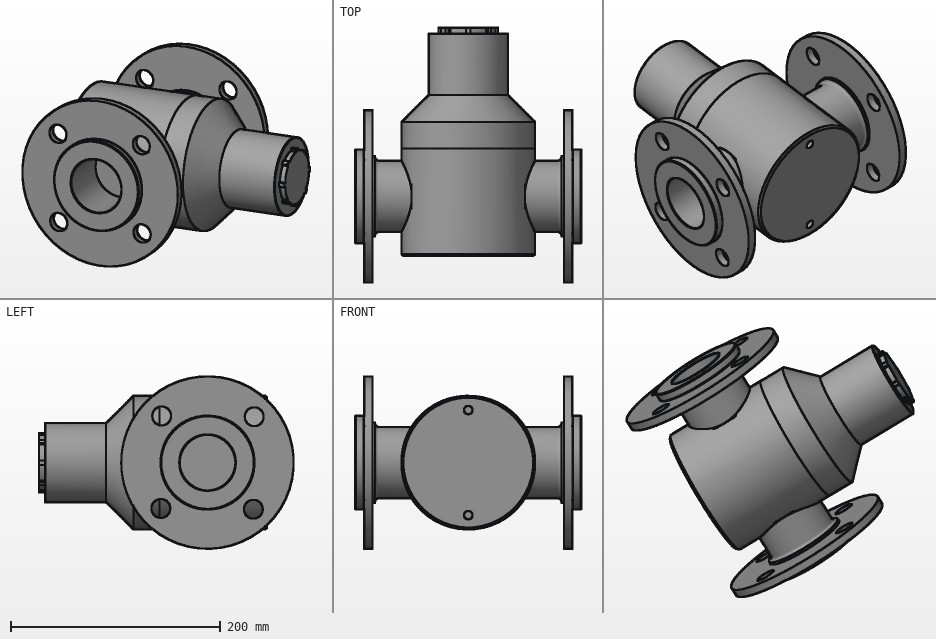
import cadquery as cq
import math


overall_depth = 243.6

body_diameter = 128.0
body_front_y = -57.0
body_edge_chamfer = 2.0
seam_y = 45.8

pin_hole_diameter = 8.0
pin_hole_offset = 50.2
pin_hole_depth = 9.7

cone_start_y = 71.0
neck_diameter = 76.0
cone_end_y = cone_start_y + (body_diameter - neck_diameter) / 2
neck_end_y = 155.5
neck_edge_chamfer = 0.5

knob_diameter = 52.6
rib_count = 8
rib_width = 4.1
rib_reach = 28.5

overall_length = 216.0
bore_diameter = 53.0
collar_diameter = 90.0
collar_thickness = 8.5
collar_edge_chamfer = 0.7
bore_edge_chamfer = 0.5
sleeve_diameter = 77.0
sleeve_end_x = 89.0
pipe_diameter = 68.5
pipe_fillet = 3.2

flange_diameter = 165.0
flange_bore_diameter = 78.0
flange_thickness = 8.3
bolt_circle_diameter = 125.0
bolt_hole_diameter = 18.0
bolt_count = 4
bolt_pattern_turn = 0.5

body_radius = body_diameter / 2
pipe_radius = pipe_diameter / 2
knob_end_y = overall_depth - flange_diameter / 2
outer_x = overall_length / 2
collar_back_x = outer_x - collar_thickness
pipe_end_x = math.sqrt(body_radius**2 - pipe_radius**2)


def cylinder_along_y(diameter, start_y, end_y):
    """Cylinder on the valve axis."""
    return (
        cq.Workplane("XZ", origin=(0, start_y, 0))
        .circle(diameter / 2)
        .extrude(start_y - end_y)
    )


def tube_along_x(diameter, start_x, end_x):
    """Cylinder on the pipe axis."""
    return cq.Workplane("YZ", origin=(start_x, 0, 0)).circle(diameter / 2).extrude(end_x - start_x)


def make_body():
    body = cylinder_along_y(body_diameter, body_front_y, seam_y)
    body = body.faces("<Y").chamfer(body_edge_chamfer)
    for side in (1, -1):
        body = body.cut(tube_along_x(pipe_diameter, side * pipe_end_x, side * outer_x))
        pin_hole = cylinder_along_y(pin_hole_diameter, body_front_y, body_front_y + pin_hole_depth)
        body = body.cut(pin_hole.translate((0, 0, side * pin_hole_offset)))
    return body


def make_bonnet():
    neck_radius = neck_diameter / 2
    profile = [
        (0, seam_y),
        (body_radius, seam_y),
        (body_radius, cone_start_y),
        (neck_radius, cone_end_y),
        (neck_radius, neck_end_y),
        (0, neck_end_y),
    ]
    bonnet = cq.Workplane("XY").polyline(profile).close().revolve(360, (0, 0, 0), (0, 1, 0))
    return bonnet.faces(">Y").chamfer(neck_edge_chamfer)


def make_knob():
    knob = cylinder_along_y(knob_diameter, neck_end_y, knob_end_y)
    for index in range(rib_count):
        rib = cq.Workplane("XY").box(
            rib_reach, knob_end_y - neck_end_y, rib_width, centered=(False, False, True)
        )
        rib = rib.translate((0, neck_end_y, 0))
        knob = knob.union(rib.rotate((0, 0, 0), (0, 1, 0), index * 360 / rib_count))
    return knob


def make_stub(side):
    """Collared pipe; side is 1 for +X and -1 for -X."""
    outer_face = ">X" if side > 0 else "<X"
    collar = tube_along_x(collar_diameter, side * collar_back_x, side * outer_x)
    collar = collar.edges().chamfer(collar_edge_chamfer)
    sleeve = tube_along_x(sleeve_diameter, side * sleeve_end_x, side * collar_back_x)
    pipe = tube_along_x(pipe_diameter, side * pipe_end_x, side * sleeve_end_x)
    stub = collar.union(sleeve).union(pipe)

    root_reach = pipe_radius + 0.2
    root_box = cq.selectors.BoxSelector(
        (side * sleeve_end_x - 0.2, -root_reach, -root_reach),
        (side * sleeve_end_x + 0.2, root_reach, root_reach),
        boundingbox=True,
    )
    stub = stub.faces("%PLANE").edges(root_box).fillet(pipe_fillet)

    stub = stub.cut(tube_along_x(bore_diameter, side * pipe_end_x, side * outer_x))
    bore_edge = cq.selectors.RadiusNthSelector(0)
    return stub.faces(outer_face).edges(bore_edge).chamfer(bore_edge_chamfer)


def make_flange(side):
    """Loose ring behind a collar; side is 1 for +X and -1 for -X."""
    inner_x = side * (collar_back_x - flange_thickness)
    outer_face_x = side * collar_back_x
    flange = tube_along_x(flange_diameter, inner_x, outer_face_x)
    flange = flange.cut(tube_along_x(flange_bore_diameter, inner_x, outer_face_x))
    for index in range(bolt_count):
        angle = (index + 0.5) * 360 / bolt_count + bolt_pattern_turn
        hole = tube_along_x(bolt_hole_diameter, inner_x, outer_face_x)
        hole = hole.translate((0, bolt_circle_diameter / 2, 0))
        flange = flange.cut(hole.rotate((0, 0, 0), (1, 0, 0), angle))
    return flange


body = make_body()
bonnet = make_bonnet()
knob = make_knob()
stubs = [make_stub(side) for side in (1, -1)]
flanges = [make_flange(side) for side in (1, -1)]

result = cq.Compound.makeCompound(
    [
        body.val(),
        bonnet.val(),
        knob.val(),
        *[stub.val() for stub in stubs],
        *[flange.val() for flange in flanges],
    ]
)